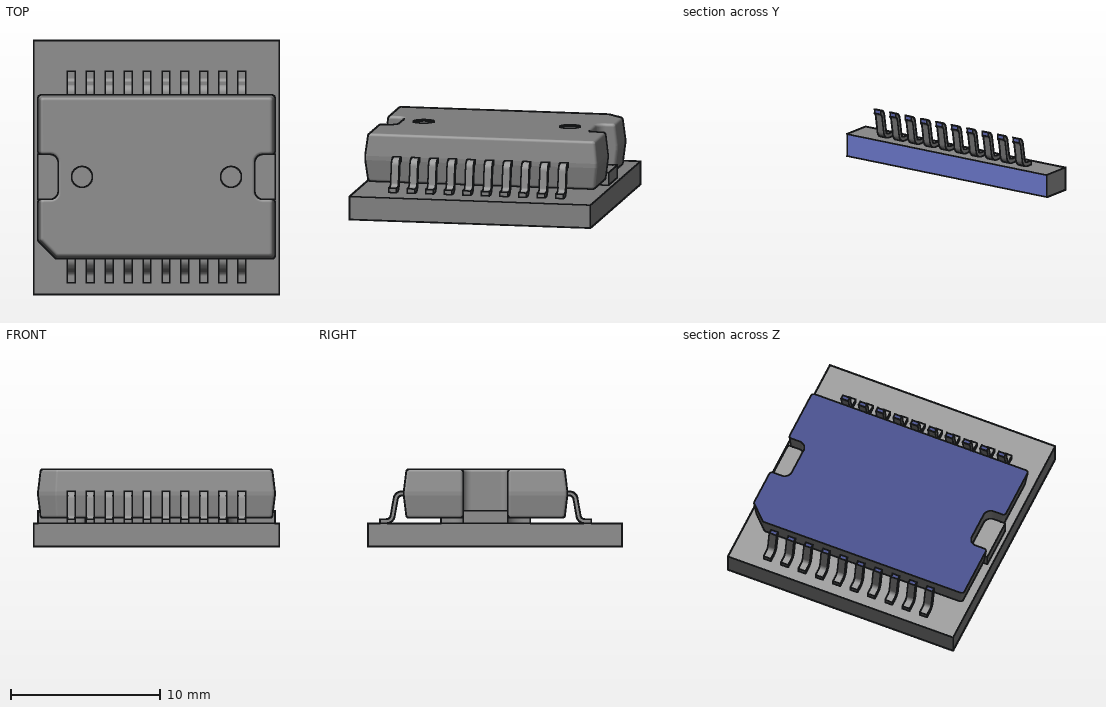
import cadquery as cq
import math

BOARD_X = 16.5
BOARD_Y = 17.06
BOARD_THICKNESS = 1.57

CASE_X = 15.9
CASE_Y = 10.99
CASE_OFFSET_Y = -0.63
STANDOFF = 0.35
PACKAGE_HEIGHT = 3.63
BAND_TOP = 2.15
BAND_BOTTOM = 1.86
DRAFT_ANGLE = 7.0
PIN_ONE_CHAMFER = 1.2
EDGE_RADIUS = 0.2

NOTCH_WIDTH = 3.0
NOTCH_DEPTH = 1.35
NOTCH_RADIUS = 0.51

MARK_DIAMETER = 1.4
MARK_SPACING = 10.0
MARK_DEPTH = 0.1

SLUG_HEIGHT = 0.85
SLUG_MIDDLE_X = 9.59
SLUG_MIDDLE_Y = 6.0
SLUG_RADIUS = 1.0

LEADS_PER_SIDE = 10
LEAD_ROW_X = 11.43
LEAD_PITCH = LEAD_ROW_X / (LEADS_PER_SIDE - 1)
LEAD_WIDTH = 0.53
LEAD_THICKNESS = BAND_TOP - BAND_BOTTOM
LEAD_SPAN = 14.2
LEG_FOOT_Y = 6.3
LEG_ANGLE = 80.0
BEND_RADIUS = 0.27


def standing_box(size_x, size_y, height):
    """Box centred on the Z axis, standing on z = 0."""
    return cq.Workplane("XY").box(size_x, size_y, height, centered=(True, True, False))


def make_board():
    return standing_box(BOARD_X, BOARD_Y, BOARD_THICKNESS)


def case_outline(z):
    """Rectangle at height z with the pin-one corner cut off."""
    half_x = CASE_X / 2
    half_y = CASE_Y / 2
    points = [
        (half_x, -half_y),
        (half_x, half_y),
        (-half_x, half_y),
        (-half_x, -half_y + PIN_ONE_CHAMFER),
        (-half_x + PIN_ONE_CHAMFER, -half_y),
    ]
    return cq.Workplane("XY").workplane(offset=z).polyline(points).close()


def make_case():
    """Case with a straight band at the parting line and drafted sides above and below it."""
    band = case_outline(BAND_BOTTOM).extrude(BAND_TOP - BAND_BOTTOM)
    upper = case_outline(BAND_TOP).extrude(PACKAGE_HEIGHT - BAND_TOP, taper=DRAFT_ANGLE)
    lower = case_outline(BAND_BOTTOM).extrude(STANDOFF - BAND_BOTTOM, taper=DRAFT_ANGLE)
    case = band.union(upper).union(lower)
    for side in (-1, 1):
        case = case.cut(make_notch(side))
    return round_case_edges(case).cut(make_marks())


def round_case_edges(case):
    """Round the outer upright edges, then the rims of the top and bottom faces."""
    inside_x = CASE_X / 2 - NOTCH_DEPTH + NOTCH_RADIUS + EDGE_RADIUS
    inside_y = NOTCH_WIDTH / 2 + EDGE_RADIUS
    notch_inside = cq.selectors.BoxSelector(
        (-inside_x, -inside_y, 0),
        (inside_x, inside_y, PACKAGE_HEIGHT + EDGE_RADIUS),
    )
    upright = cq.selectors.StringSyntaxSelector("not #Z")
    case = case.edges(upright - notch_inside).fillet(EDGE_RADIUS)
    return case.faces("<Z or >Z").edges().fillet(EDGE_RADIUS)


def make_notch(side):
    """Cutter open at the case end, with rounded inner corners."""
    return (
        standing_box(2 * NOTCH_DEPTH, NOTCH_WIDTH, PACKAGE_HEIGHT)
        .edges("|Z")
        .fillet(NOTCH_RADIUS)
        .translate((side * CASE_X / 2, 0, 0))
    )


def make_marks():
    return (
        cq.Workplane("XY")
        .workplane(offset=PACKAGE_HEIGHT - MARK_DEPTH)
        .pushPoints([(-MARK_SPACING / 2, 0), (MARK_SPACING / 2, 0)])
        .circle(MARK_DIAMETER / 2)
        .extrude(MARK_DEPTH)
    )


def make_slug():
    """Cross-shaped slug with rounded inner corners."""
    tab = standing_box(CASE_X, NOTCH_WIDTH, SLUG_HEIGHT)
    middle = standing_box(SLUG_MIDDLE_X, SLUG_MIDDLE_Y, SLUG_HEIGHT)
    slug = tab.union(middle)
    for x in (-SLUG_MIDDLE_X / 2, SLUG_MIDDLE_X / 2):
        for y in (-NOTCH_WIDTH / 2, NOTCH_WIDTH / 2):
            corner = cq.selectors.NearestToPointSelector((x, y, SLUG_HEIGHT / 2))
            slug = slug.edges("|Z").edges(corner).fillet(SLUG_RADIUS)
    return slug


def make_lead():
    """Lead on the +Y side, centred on x = 0."""
    half = LEAD_THICKNESS / 2
    knee_y = LEG_FOOT_Y - BAND_BOTTOM / math.tan(math.radians(LEG_ANGLE))
    miter = half * math.tan(math.radians(LEG_ANGLE / 2))
    root_y = CASE_Y / 2 - LEAD_THICKNESS
    tip_y = LEAD_SPAN / 2
    knee_outside = (knee_y + miter, BAND_TOP)
    knee_inside = (knee_y - miter, BAND_BOTTOM)
    foot_inside = (LEG_FOOT_Y + miter, LEAD_THICKNESS)
    foot_outside = (LEG_FOOT_Y - miter, 0)
    profile = [
        (root_y, BAND_TOP),
        knee_outside,
        foot_inside,
        (tip_y, LEAD_THICKNESS),
        (tip_y, 0),
        foot_outside,
        knee_inside,
        (root_y, BAND_BOTTOM),
    ]
    lead = cq.Workplane("YZ").polyline(profile).close().extrude(LEAD_WIDTH / 2, both=True)
    bends = [
        (knee_inside, BEND_RADIUS),
        (knee_outside, BEND_RADIUS + LEAD_THICKNESS),
        (foot_inside, BEND_RADIUS),
        (foot_outside, BEND_RADIUS + LEAD_THICKNESS),
    ]
    for (y, z), radius in bends:
        corner = cq.selectors.NearestToPointSelector((0, y, z))
        lead = lead.edges("|X").edges(corner).fillet(radius)
    return lead


def make_package():
    """Case, slug and leads as one solid resting on the board."""
    package = make_case().union(make_slug())
    lead = make_lead()
    mirrored_lead = lead.mirror("XZ")
    for index in range(LEADS_PER_SIDE):
        x = index * LEAD_PITCH - LEAD_ROW_X / 2
        package = package.union(lead.translate((x, 0, 0)))
        package = package.union(mirrored_lead.translate((x, 0, 0)))
    return package.translate((0, CASE_OFFSET_Y, BOARD_THICKNESS))


board = make_board()
package = make_package()

result = cq.Compound.makeCompound([board.val(), package.val()])